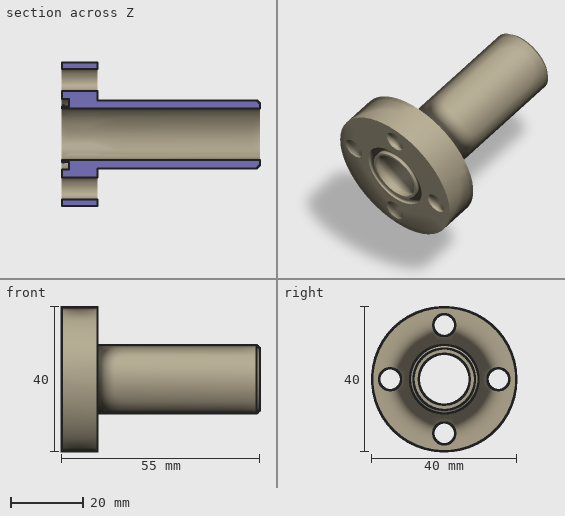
import cadquery as cq

total_length = 55.0
flange_diameter = 40.0
flange_thickness = 10.0
sleeve_diameter = 19.0
bore_diameter = 14.0
end_chamfer = 1.0

groove_outer_diameter = 19.4
lip_diameter = 15.4
groove_depth = 2.0

hole_count = 4
hole_diameter = 6.0
hole_circle_diameter = 30.0


def flanged_sleeve():
    """Solid round flange with a sleeve chamfered at its free end."""
    flange = cq.Workplane("YZ").circle(flange_diameter / 2).extrude(flange_thickness)
    sleeve = cq.Workplane("YZ").circle(sleeve_diameter / 2).extrude(total_length)
    sleeve = sleeve.faces(">X").edges().chamfer(end_chamfer)
    return flange.union(sleeve)


def bore():
    return cq.Workplane("YZ").circle(bore_diameter / 2).extrude(total_length)


def face_groove():
    return (
        cq.Workplane("YZ")
        .circle(groove_outer_diameter / 2)
        .circle(lip_diameter / 2)
        .extrude(groove_depth)
    )


def mounting_holes():
    return (
        cq.Workplane("YZ")
        .polarArray(hole_circle_diameter / 2, 0, 360, hole_count)
        .circle(hole_diameter / 2)
        .extrude(flange_thickness)
    )


result = flanged_sleeve().cut(bore()).cut(face_groove()).cut(mounting_holes())